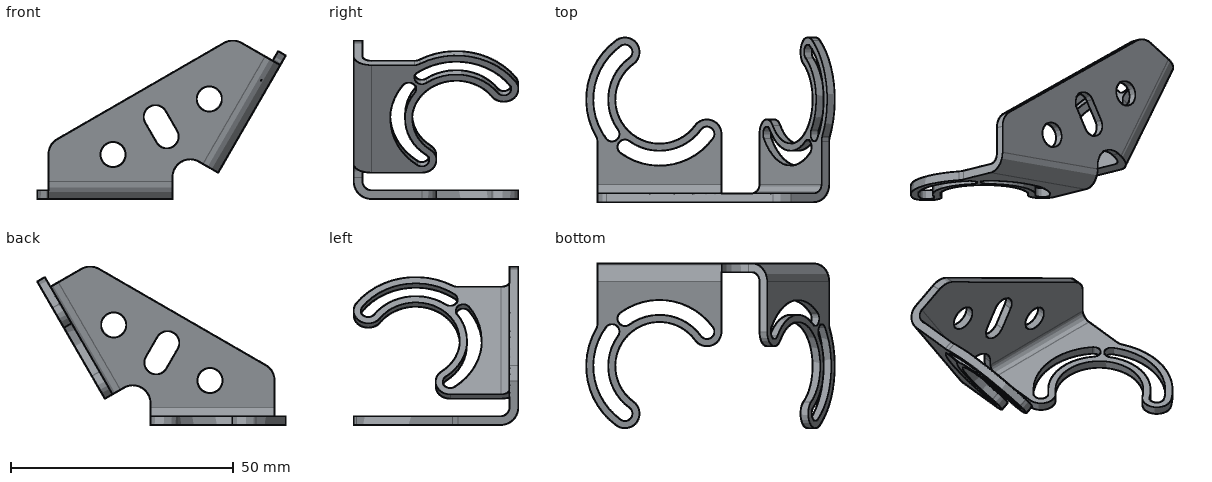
import cadquery as cq
import math

thickness = 2.0
bend_inner = 2.0
bend_outer = bend_inner + thickness

clip_center_y = 23.05
clip_radius = 13.15
arm_width = 6.6
slot_width = 3.3
inner_radius = clip_radius - arm_width / 2
outer_radius = clip_radius + arm_width / 2
clip_axis = 225
slot_start = 9
slot_end = 99
tip_angle = math.radians(clip_axis + slot_end)
tip_y = clip_center_y + clip_radius * math.sin(tip_angle)
half_width = clip_radius * math.cos(tip_angle) + arm_width / 2
neck_fillet = 2.35

flange_angle = 60
tilt = flange_angle / 2
middle_x = 11.4
middle_z = 16.25
top_offset = 9.25
top_fillet = 4.0
relief_radius = 3.95
hole_diameter = 5.6
hole_spacing = 24.95
slot_hole_width = 5.25
slot_hole_length = 10.3

sin_tilt = math.sin(math.radians(tilt))
cos_tilt = math.cos(math.radians(tilt))


def polar(radius, angle):
    """Point in the flange plane, relative to the clip centre."""
    a = math.radians(angle)
    return (radius * math.cos(a), clip_center_y + radius * math.sin(a))


def reflect(point):
    """Mirror an (x, z) point across the symmetry plane of the bracket."""
    x, z = point
    distance = (x - middle_x) * cos_tilt + (z - middle_z) * sin_tilt
    return (x - 2 * distance * cos_tilt, z - 2 * distance * sin_tilt)


def curved_strip(start, end, width):
    """Round-ended strip of sheet following the clip centreline."""
    r_in = clip_radius - width / 2
    r_out = clip_radius + width / 2
    middle = (start + end) / 2
    return (
        cq.Workplane("XY")
        .moveTo(*polar(r_out, start))
        .threePointArc(polar(r_out, middle), polar(r_out, end))
        .tangentArcPoint(polar(r_in, end), relative=False)
        .threePointArc(polar(r_in, middle), polar(r_in, start))
        .tangentArcPoint(polar(r_out, start), relative=False)
        .close()
        .extrude(thickness)
    )


def make_flange():
    bend = (
        cq.Workplane("YZ", origin=(-half_width, 0, 0))
        .moveTo(bend_outer, 0)
        .radiusArc((0, bend_outer), bend_outer)
        .lineTo(thickness, bend_outer)
        .radiusArc((bend_outer, thickness), -bend_inner)
        .close()
        .extrude(2 * half_width)
    )
    web = (
        cq.Workplane("XY")
        .rect(2 * half_width, tip_y - bend_outer)
        .extrude(thickness)
        .translate((0, (tip_y + bend_outer) / 2, 0))
    )
    bore = cq.Workplane("XY").center(0, clip_center_y).circle(inner_radius).extrude(thickness)
    arm = curved_strip(clip_axis - slot_end, clip_axis + slot_end, arm_width)
    flat = web.cut(bore).union(arm)

    neck_y = clip_center_y - math.sqrt(outer_radius**2 - half_width**2)
    neck = cq.selectors.NearestToPointSelector((-half_width, neck_y, thickness / 2))
    flat = flat.edges("|Z").edges(neck).fillet(neck_fillet)

    for side in (-1, 1):
        ends = sorted((clip_axis + side * slot_start, clip_axis + side * slot_end))
        flat = flat.cut(curved_strip(*ends, slot_width))
    return flat.union(bend)


def make_plate():
    bend_left = (-half_width, bend_outer)
    bend_right = (half_width, bend_outer)
    top_z = middle_z + (top_offset - (half_width + middle_x) * sin_tilt) / cos_tilt
    top_left = (-half_width, top_z)
    top_right = reflect(top_left)
    relief = (half_width, middle_z - (half_width - middle_x) * cos_tilt / sin_tilt)
    outline = [
        bend_left, top_left, top_right, reflect(bend_left),
        reflect(bend_right), relief, bend_right,
    ]
    plate = cq.Workplane("XZ").polyline(outline).close().extrude(-thickness)
    for corner, radius in ((top_left, top_fillet), (top_right, top_fillet), (relief, relief_radius)):
        x, z = corner
        near_corner = cq.selectors.NearestToPointSelector((x, thickness / 2, z))
        plate = plate.edges("|Y").edges(near_corner).fillet(radius)

    openings = (
        cq.Workplane("XZ", origin=(middle_x, 0, middle_z))
        .transformed(rotate=(0, 0, tilt))
        .pushPoints([(-hole_spacing / 2, 0), (hole_spacing / 2, 0)])
        .circle(hole_diameter / 2)
        .extrude(-thickness)
    )
    slot = (
        cq.Workplane("XZ", origin=(middle_x, 0, middle_z))
        .transformed(rotate=(0, 0, tilt))
        .slot2D(slot_hole_length, slot_hole_width, 90)
        .extrude(-thickness)
    )
    return plate.cut(openings).cut(slot)


lower_flange = make_flange()
upper_flange = lower_flange.mirror(
    cq.Vector(cos_tilt, 0, sin_tilt), (middle_x, 0, middle_z)
)
result = make_plate().union(lower_flange).union(upper_flange)